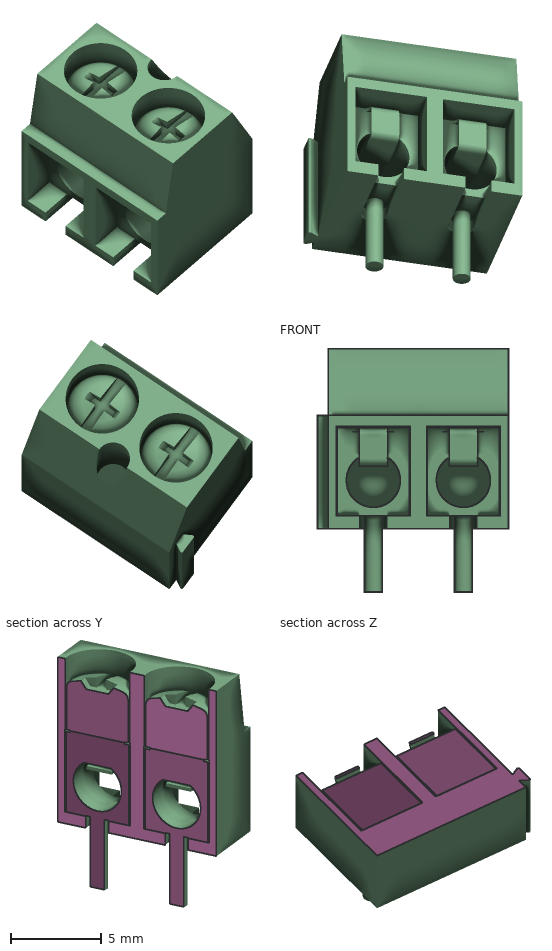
import cadquery as cq
import math


body_width = 10.0
body_depth = 8.0
body_height = 10.0
front_to_axis = 3.8
front_y = -front_to_axis
back_y = front_y + body_depth
ledge_height = 6.3
lip_depth = 0.7
top_front_setback = 1.32
top_back_setback = 1.7

pitch = 5.0
way_positions = [-pitch / 2, pitch / 2]

cavity_width = 4.09
cavity_floor = 0.74
cavity_ceiling = 5.7
slot_width = 1.48
bore_radius = 2.04

notch_radius = 0.93
notch_y = back_y - top_back_setback

rail_reach = 0.6
rail_y = back_y - 0.99
rail_neck_half_width = 0.32
rail_flank_angle = 30.0
rail_edge_radius = 0.1

cage_width = 3.98
cage_top = 5.6
cage_front_y = front_y + 1.81
cage_back_y = -cage_front_y
wire_hole_radius = 1.5
wire_hole_z = 2.7
wire_hole_flat_z = 3.93
pad_size = 3.43
pin_radius = 0.5
pin_length = 3.5

tab_width = 1.58
tab_reach = 0.51
tab_thickness = 0.2
tab_bend_radius = 0.4
tab_bottom = 3.47
shoulder_radius = 0.32

screw_radius = 1.97
screw_apex_z = 9.13
cone_drop = 0.49
rim_fillet_radius = 0.46
drive_floor_z = 8.42
slot_drive_width = 0.61
cross_drive_width = 0.5
cross_half_length = 1.04
cross_floor_radius = 0.73
cross_opening_radius = 1.25


def box(x_size, y_range, z_range, x_center=0.0):
    """Box centred in X on x_center, between the given Y and Z limits."""
    y_size = y_range[1] - y_range[0]
    z_size = z_range[1] - z_range[0]
    corner_based = cq.Workplane("XY").box(x_size, y_size, z_size, centered=(True, False, False))
    return corner_based.translate((x_center, y_range[0], z_range[0]))


def make_body():
    """Constant side profile with a front lip and two slopes leading to the top."""
    profile = [
        (front_y, 0),
        (back_y, 0),
        (back_y, ledge_height),
        (back_y - top_back_setback, body_height),
        (front_y + top_front_setback, body_height),
        (front_y + lip_depth, ledge_height),
        (front_y, ledge_height),
    ]
    return cq.Workplane("YZ").polyline(profile).close().extrude(body_width / 2, both=True)


def make_rail():
    """Dovetail rail with rounded outer edges, as tall as the front lip."""
    flare = rail_reach * math.tan(math.radians(rail_flank_angle))
    outer_half_width = rail_neck_half_width + flare
    root_x = -body_width / 2
    outer_x = root_x - rail_reach
    outline = [
        (root_x, rail_y - rail_neck_half_width),
        (root_x, rail_y + rail_neck_half_width),
        (outer_x, rail_y + outer_half_width),
        (outer_x, rail_y - outer_half_width),
    ]
    rail = cq.Workplane("XY").polyline(outline).close().extrude(ledge_height)
    return rail.edges("|Z and <X").fillet(rail_edge_radius)


def make_way_opening(x):
    """Wire cavity, pin slot and screw bore of one way."""
    cavity = box(cavity_width, (front_y, cage_back_y), (cavity_floor, cavity_ceiling), x)
    slot = box(slot_width, (front_y, 0), (0, cavity_floor), x)
    slot_end = cq.Workplane("XY").center(x, 0).circle(slot_width / 2).extrude(cavity_floor)
    bore_depth = body_height - cavity_ceiling
    bore = cq.Workplane("XY", origin=(x, 0, cavity_ceiling)).circle(bore_radius).extrude(bore_depth)
    return cavity.union(slot).union(slot_end).union(bore)


def make_housing():
    housing = make_body().union(make_rail())
    for x in way_positions:
        housing = housing.cut(make_way_opening(x))
    notch_base = cq.Workplane("XY", origin=(0, notch_y, ledge_height))
    notch = notch_base.circle(notch_radius).extrude(body_height - ledge_height)
    return housing.cut(notch)


def make_tab():
    """Strip that leaves the cage top, bends down and bends back into the wire hole."""
    outer_y = cage_front_y - tab_reach
    strip_end_y = 0
    outer = box(tab_width, (outer_y, strip_end_y), (tab_bottom, cage_top))
    outer = outer.edges("|X and <Y").fillet(tab_bend_radius)
    inner_y = (outer_y + tab_thickness, strip_end_y)
    inner = box(tab_width, inner_y, (tab_bottom + tab_thickness, cage_top - tab_thickness))
    inner = inner.edges("|X and <Y").fillet(tab_bend_radius - tab_thickness)
    return outer.cut(inner)


def make_shoulders():
    """Concave fillets between the cage front and both edges of the tab."""
    shoulder_width = tab_width + 2 * shoulder_radius
    tip_y = cage_front_y - shoulder_radius
    y_range = (tip_y, cage_front_y)
    z_range = (cage_top - tab_thickness, cage_top)
    shoulders = box(shoulder_width, y_range, z_range)
    for side in (-1, 1):
        center = (side * shoulder_width / 2, tip_y, cage_top - tab_thickness)
        round_cut = cq.Workplane("XY", origin=center).circle(shoulder_radius).extrude(tab_thickness)
        shoulders = shoulders.cut(round_cut)
    return shoulders.cut(box(tab_width, y_range, z_range))


def make_terminal(x):
    cage_depth = cage_back_y - cage_front_y
    cage = box(cage_width, (cage_front_y, cage_back_y), (cavity_floor, cage_top))
    hole_start = cq.Workplane("XZ", origin=(0, cage_back_y, wire_hole_z))
    wire_hole = hole_start.circle(wire_hole_radius).extrude(cage_depth)
    below_flat = box(cage_width, (cage_front_y, cage_back_y), (cavity_floor, wire_hole_flat_z))
    cage = cage.cut(wire_hole.intersect(below_flat))
    pad = box(pad_size, (-pad_size / 2, pad_size / 2), (cage_top, cavity_ceiling))
    pin_start = cq.Workplane("XY", origin=(0, 0, -pin_length))
    pin = pin_start.circle(pin_radius).extrude(pin_length + cavity_floor)
    terminal = cage.union(pad).union(pin).union(make_tab()).union(make_shoulders())
    return terminal.translate((x, 0, 0))


def make_drive():
    """Full-width slot crossed by a short slot with tapered ends."""
    z_range = (drive_floor_z, screw_apex_z)
    slot = box(slot_drive_width, (-screw_radius, screw_radius), z_range)
    cross = box(2 * cross_half_length, (-cross_drive_width / 2, cross_drive_width / 2), z_range)
    taper_profile = [
        (0, drive_floor_z),
        (cross_floor_radius, drive_floor_z),
        (cross_opening_radius, screw_apex_z),
        (0, screw_apex_z),
    ]
    taper = cq.Workplane("XZ").polyline(taper_profile).close().revolve(360, (0, 0), (0, 1))
    return slot.union(cross.intersect(taper))


def make_screw(x):
    """Screw with a rounded rim and a shallow conical top."""
    rim_z = screw_apex_z - cone_drop
    profile = [
        (0, cavity_ceiling),
        (screw_radius, cavity_ceiling),
        (screw_radius, rim_z),
        (0, screw_apex_z),
    ]
    blank = cq.Workplane("XZ").polyline(profile).close().revolve(360, (0, 0), (0, 1))
    rounded = blank.edges("%CIRCLE").edges(">Z").fillet(rim_fillet_radius)
    return rounded.cut(make_drive()).translate((x, 0, 0))


housing = make_housing()
terminals = [make_terminal(x) for x in way_positions]
screws = [make_screw(x) for x in way_positions]

bodies = [housing] + terminals + screws
result = cq.Compound.makeCompound([body.solids().val() for body in bodies])